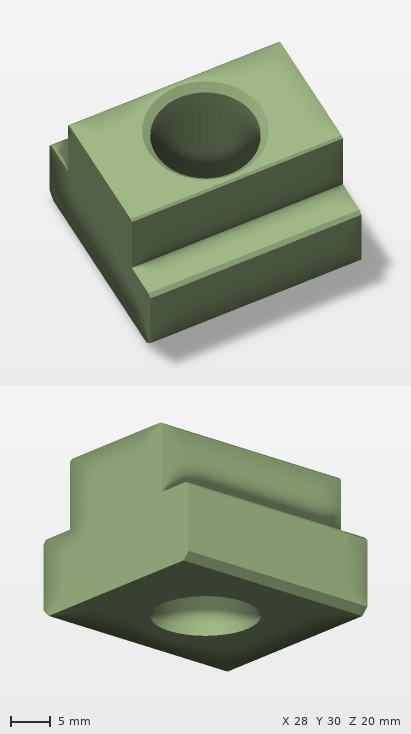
import cadquery as cq

base_width = 28.0
length = 30.0
height = 20.0

neck_width = 17.7
base_height = 10.5
bottom_chamfer = 1.0
shoulder_chamfer = 0.5
neck_chamfer = 0.3

hole_diameter = 14.0
countersink_diameter = 16.0
countersink_angle = 90.0


def t_profile():
    """Closed T-shaped outline in the XZ plane, symmetric about the Z axis."""
    half_base = base_width / 2
    half_neck = neck_width / 2
    right_side = [
        (half_base - bottom_chamfer, 0),
        (half_base, bottom_chamfer),
        (half_base, base_height - shoulder_chamfer),
        (half_base - shoulder_chamfer, base_height),
        (half_neck, base_height),
        (half_neck, height - neck_chamfer),
        (half_neck - neck_chamfer, height),
    ]
    left_side = [(-x, z) for x, z in reversed(right_side)]
    return cq.Workplane("XZ").polyline(right_side + left_side).close()


def add_hole(body):
    """Cut the countersunk through hole down the centre of the neck."""
    return (
        body.faces(">Z")
        .workplane(centerOption="CenterOfBoundBox")
        .cskHole(hole_diameter, countersink_diameter, countersink_angle)
    )


nut_body = t_profile().extrude(length / 2, both=True)
result = add_hole(nut_body)